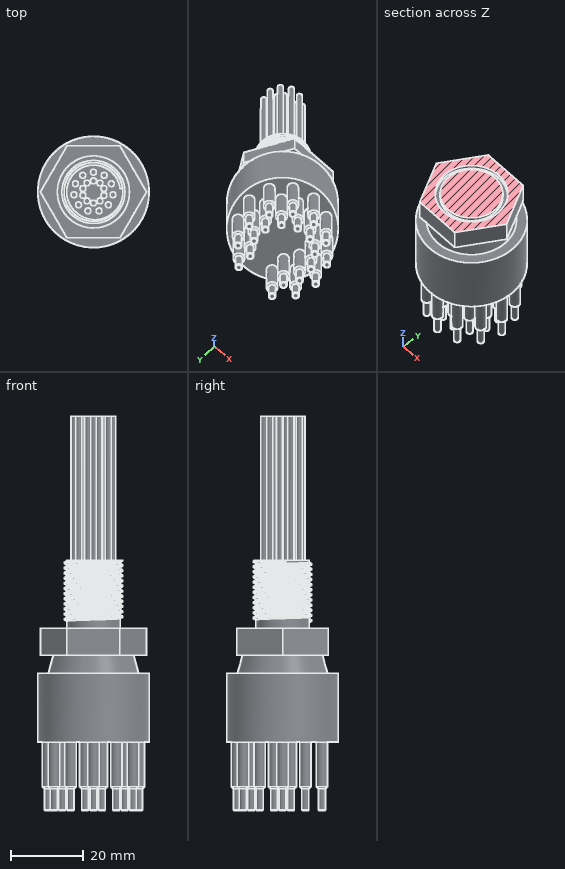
import cadquery as cq
import math

FULL_TURN = 360.0
KEY_ANGLE = 90.0

body_bottom = 19.0
body_top = 38.2
nut_bottom = 43.1
nut_top = 50.7
thread_bottom = 52.1
stud_top = 69.5
total_height = 109.5

body_diameter = 31.0
neck_base_diameter = 25.1
neck_top_diameter = 22.5
nut_sides = 6
nut_across_flats = 25.5
nut_across_corners = nut_across_flats / math.cos(math.pi / nut_sides)
nut_bore_diameter = 20.0
collar_diameter = 17.5
stud_diameter = 14.9
groove_depth = 2.2

thread_diameter = 16.3
thread_pitch = 1.4
thread_root_width = 1.3
thread_crest_width = 0.2
thread_overlap = 0.2
thread_start_angle = KEY_ANGLE

pin_diameter = 3.2
pin_tip_diameter = 2.0
pin_shoulder_height = 6.1
pin_shoulder_chamfer = 0.5
pin_end_chamfer = 0.2
pin_positions_per_ring = 12
outer_pin_circle = 25.3
inner_pin_circle = 18.0
wire_diameter = 1.6
outer_wire_count = 11
inner_wire_count = 10
outer_wire_circle = 11.0
inner_wire_circle = 6.1


def ring_points(diameter, angles):
    """Points on a circle, at angles in degrees from +X."""
    radius = diameter / 2
    return [
        (radius * math.cos(math.radians(angle)), radius * math.sin(math.radians(angle)))
        for angle in angles
    ]


def cylinder(diameter, bottom, top):
    return cq.Workplane("XY", origin=(0, 0, bottom)).circle(diameter / 2).extrude(top - bottom)


def make_body():
    """Turned body with its tapered neck and the collar inside the nut."""
    profile = [
        (0, body_bottom),
        (body_diameter / 2, body_bottom),
        (body_diameter / 2, body_top),
        (neck_base_diameter / 2, body_top),
        (neck_top_diameter / 2, nut_bottom),
        (collar_diameter / 2, nut_bottom),
        (collar_diameter / 2, nut_top),
        (0, nut_top),
    ]
    return cq.Workplane("XZ").polyline(profile).close().revolve(FULL_TURN, (0, 0), (0, 1))


def make_nut():
    """Hexagonal nut, with an open groove between its bore and the collar."""
    nut = (
        cq.Workplane("XY", origin=(0, 0, nut_bottom))
        .polygon(nut_sides, nut_across_corners)
        .extrude(nut_top - nut_bottom)
    )
    groove = cylinder(nut_bore_diameter, nut_top - groove_depth, nut_top)
    return nut.cut(groove)


def make_threaded_stud():
    """Stud with a helical ridge whose root is sunk a little into it, cut off flat at the top."""
    root_radius = stud_diameter / 2 - thread_overlap
    crest_radius = thread_diameter / 2
    start = thread_bottom + thread_root_width / 2
    helix = cq.Wire.makeHelix(thread_pitch, stud_top - start, root_radius, center=cq.Vector(0, 0, start))
    ridge = (
        cq.Workplane("XZ")
        .polyline([
            (root_radius, start - thread_root_width / 2),
            (crest_radius, start - thread_crest_width / 2),
            (crest_radius, start + thread_crest_width / 2),
            (root_radius, start + thread_root_width / 2),
        ])
        .close()
        .sweep(cq.Workplane(obj=helix), isFrenet=True)
        .rotate((0, 0, 0), (0, 0, 1), thread_start_angle)
    )
    stud = cylinder(stud_diameter, nut_top - groove_depth, stud_top + thread_pitch).union(ridge)
    return stud.cut(cylinder(body_diameter, stud_top, stud_top + 2 * thread_pitch))


def make_pin():
    """Stepped pin on the Z axis, up to the underside of the body."""
    tip = cylinder(pin_tip_diameter, 0, body_bottom).faces("<Z").chamfer(pin_end_chamfer)
    shank = cylinder(pin_diameter, pin_shoulder_height, body_bottom).faces("<Z").chamfer(pin_shoulder_chamfer)
    return shank.union(tip)


def pin_points():
    """Two staggered rings, without the outer pin and the two inner pins nearest the key side."""
    step = FULL_TURN / pin_positions_per_ring
    outer_angles = [KEY_ANGLE + step * i for i in range(1, pin_positions_per_ring)]
    inner_angles = [KEY_ANGLE + step * (i + 0.5) for i in range(1, pin_positions_per_ring - 1)]
    return ring_points(outer_pin_circle, outer_angles) + ring_points(inner_pin_circle, inner_angles)


def wire_points():
    outer_angles = [KEY_ANGLE + FULL_TURN / outer_wire_count * i for i in range(outer_wire_count)]
    inner_angles = [KEY_ANGLE + FULL_TURN / inner_wire_count * i for i in range(inner_wire_count)]
    return ring_points(outer_wire_circle, outer_angles) + ring_points(inner_wire_circle, inner_angles)


def make_wires():
    return (
        cq.Workplane("XY", origin=(0, 0, stud_top))
        .pushPoints(wire_points())
        .circle(wire_diameter / 2)
        .extrude(total_height - stud_top)
    )


result = make_threaded_stud().union(make_body()).union(make_nut())
pin = make_pin()
for x, y in pin_points():
    result = result.union(pin.translate((x, y, 0)))
result = result.union(make_wires())